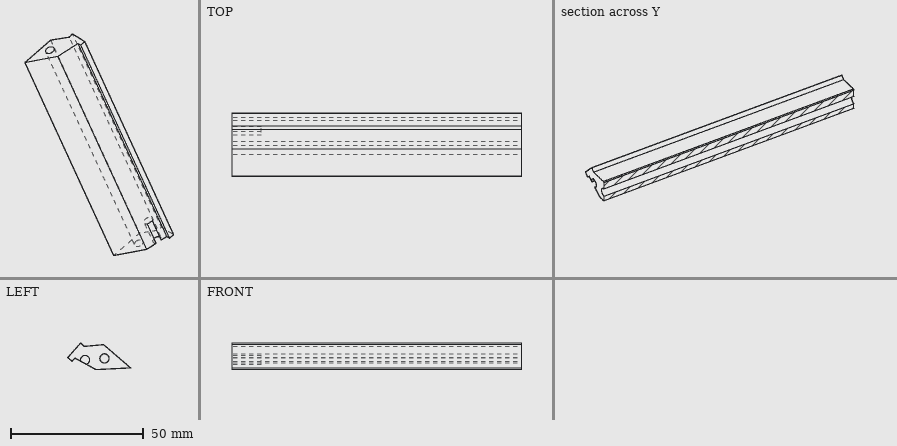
import cadquery as cq

length = 109.0
depth = 23.8
height = 10.1

front_edge = (0, 0.7)
front_top = (10.2, 9.5)
notch_root = (17.5, 8.8)
crest = (18.9, height)
back_edge = (depth, 4.6)
lip_tip = (22.1, 3.2)
lip_root = (21.0, 4.4)
keel = (13.1, 0)

hole_diameter = 3.4
through_hole_center = (9.9, 4.3)
end_hole_center = (17.2, 3.7)
end_hole_depth = 10.9


def bar():
    """The full-length bar, starting at X = 0."""
    corners = [front_edge, front_top, notch_root, crest, back_edge, lip_tip, lip_root, keel]
    return cq.Workplane("YZ").polyline(corners).close().extrude(length)


def hole(center, hole_depth):
    """A cylinder cutting into the bar from its X = 0 end."""
    return cq.Workplane("YZ").center(*center).circle(hole_diameter / 2).extrude(hole_depth)


result = bar()
result = result.cut(hole(through_hole_center, length))
result = result.cut(hole(end_hole_center, end_hole_depth))
result = result.translate((-length / 2, -depth / 2, -height / 2))